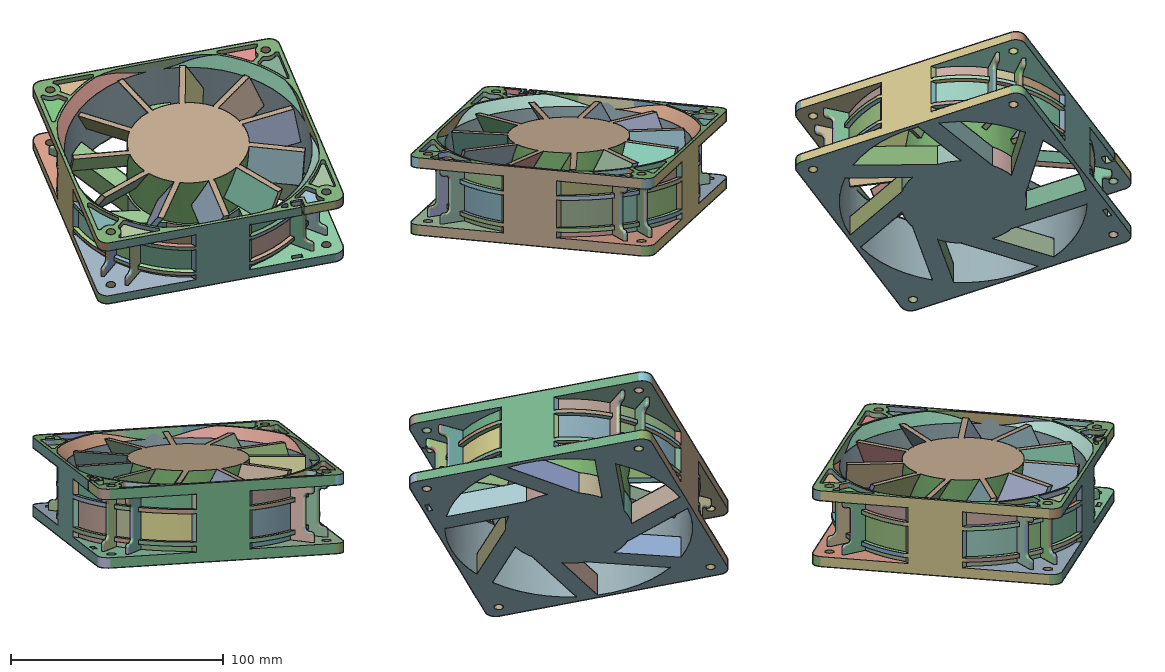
import cadquery as cq
import math

side = 120.0
side_count = 4
corner_angle = 45
height = 38.0
flange = 5.0
corner_radius = 5.0
bore_radius = 58.2
shell_radius = 59.5
ring_radius = 61.8
ring_height = 2.0
ring_bottoms = (7.9, 23.6)

flare_radius = 62.9
flare_limit = 116.8
flare_limit_radius = 44.6
flare_limit_draft = 4.0

block_half_width = 13.1
block_root_half_width = 14.8
block_root_distance = 57.5

hole_offset = 52.5
hole_diameter = 4.3
boss_radius = 4.8
pocket_depth = 2.5
pocket_margin = 2.0
pocket_wall = 1.1
pocket_fillet = 1.0
slot_pocket_fillet = 0.7
web_half_width = 1.2

rib_thickness = 1.9
rib_offset = 6.5
rib_reach = 71.3
rib_step = 4.5
rib_tab = 3.0
rib_notch_radius = 1.9
rib_fillet = 0.8

slot_x = (55.0, 58.0)
slot_y = (34.5, 39.6)
slot_chamfer = 0.5
slot_chamfer_angle = 45
slot_fillet = 1.0
slot_wall = 1.9
channel_width = 1.0
lower_slot_left = 55.9

hub_radius = 28.7
hub_top = height - 1.2
blade_count = 11
blade_tip = 55.0
blade_top = hub_top
blade_drop = 13.9
blade_edge = 4.7
blade_width = 2.9
blade_lean = 8.3

strut_count = 7
strut_edge = 18.1
strut_width = 9.2
strut_height = 11.5
base_radius = 29.8
base_height = strut_height

half = side / 2
shell_height = height - 2 * flange

overlap = 1.2


def spaced_round(shape, count, first=0):
    """Join copies of a shape spaced evenly about the Z axis, count to a full turn, skipping any before first."""
    joined = cq.Workplane("XY")
    for index in range(first, count):
        joined = joined.union(shape.rotate((0, 0, 0), (0, 0, 1), index * 360 / count))
    return joined


def cylinder(radius, bottom, length):
    return cq.Workplane("XY").workplane(offset=bottom).circle(radius).extrude(length)


def box(x_range, y_range, bottom, length):
    width = x_range[1] - x_range[0]
    depth = y_range[1] - y_range[0]
    corner = (x_range[0], y_range[0], bottom)
    return cq.Workplane("XY").box(width, depth, length, centered=False).translate(corner)


def flange_plate(bottom):
    plate = cq.Workplane("XY").workplane(offset=bottom).rect(side, side).extrude(flange)
    return plate.edges("|Z").fillet(corner_radius)


def side_block():
    """Block flush with the +X side, with slanted ends that run back to the shell."""
    outline = [
        (half, -block_half_width),
        (half, block_half_width),
        (block_root_distance, block_root_half_width),
        (bore_radius - 2 * overlap, block_root_half_width),
        (bore_radius - 2 * overlap, -block_root_half_width),
        (block_root_distance, -block_root_half_width),
    ]
    return cq.Workplane("XY").workplane(offset=flange).polyline(outline).close().extrude(shell_height)


def corner_ribs():
    """Two upright plates along the corner diagonal, with a rounded notch in their outer edge."""
    low = flange + rib_tab
    high = height - flange - rib_tab
    notch = rib_reach - rib_step
    arc = rib_notch_radius
    plate = (
        cq.Workplane("XZ")
        .moveTo(bore_radius, flange)
        .lineTo(rib_reach, flange)
        .lineTo(rib_reach, low)
        .radiusArc((rib_reach - arc, low + arc), -arc)
        .lineTo(notch + arc, low + arc)
        .radiusArc((notch, low + 2 * arc), arc)
        .lineTo(notch, high - 2 * arc)
        .radiusArc((notch + arc, high - arc), arc)
        .lineTo(rib_reach - arc, high - arc)
        .radiusArc((rib_reach, high), -arc)
        .lineTo(rib_reach, height - flange)
        .lineTo(bore_radius, height - flange)
        .close()
        .extrude(rib_thickness / 2, both=True)
    )
    outer_edge = cq.selectors.BoxSelector((notch - overlap, -half, 0), (side, half, height))
    plate = plate.edges("not |Y").edges(outer_edge).fillet(rib_fillet)
    pair = plate.translate((0, rib_offset, 0)).union(plate.translate((0, -rib_offset, 0)))
    return pair.rotate((0, 0, 0), (0, 0, 1), corner_angle)


def bore():
    """Straight bore with the inlet flare at its top."""
    cone = (
        cq.Workplane("XY")
        .workplane(offset=height - flange)
        .circle(bore_radius)
        .workplane(offset=flange)
        .circle(flare_radius)
        .loft()
    )
    outline = cq.Sketch().rect(flare_limit, flare_limit).vertices().fillet(flare_limit_radius)
    limit = (
        cq.Workplane("XY")
        .workplane(offset=height)
        .placeSketch(outline)
        .extrude(-flange, taper=flare_limit_draft)
    )
    return cylinder(bore_radius, 0, height).union(cone.intersect(limit))


def on_diagonal(along, across):
    """Point given by its distance along the corner diagonal and to the right of it."""
    return ((along + across) / math.sqrt(2), (along - across) / math.sqrt(2))


def side_pocket():
    """Pocket on the +X side of a corner, between the flare, the hole boss and the frame edge."""
    edge = half - pocket_margin
    inner = flare_radius + pocket_wall
    hole = hole_offset * math.sqrt(2)
    web_start = math.sqrt(inner**2 - web_half_width**2)
    web_end = hole - math.sqrt(boss_radius**2 - web_half_width**2)
    return (
        cq.Workplane("XY")
        .workplane(offset=height - pocket_depth)
        .moveTo(edge, math.sqrt(inner**2 - edge**2))
        .radiusArc(on_diagonal(web_start, web_half_width), -inner)
        .lineTo(*on_diagonal(web_end, web_half_width))
        .radiusArc(on_diagonal(hole, boss_radius), -boss_radius)
        .lineTo(edge, edge - boss_radius * math.sqrt(2))
        .close()
        .extrude(pocket_depth)
    )


def slot_side_pocket(plain):
    """Pocket beside the cable slot, split in two by the wall round the slot."""
    wall = box(
        (slot_x[0] - slot_wall, half),
        (slot_y[0] - slot_wall, slot_y[1] + slot_wall),
        height - pocket_depth,
        pocket_depth,
    )
    joined = cq.Workplane("XY")
    for piece in plain.cut(wall).solids().vals():
        joined = joined.union(cq.Workplane(piece).edges("|Z").fillet(slot_pocket_fillet))
    return joined


def pockets():
    """Two mirrored pockets in every corner; the one by the cable slot has its own shape."""
    plain = side_pocket()
    rounded = plain.edges("|Z").fillet(pocket_fillet)
    mirrored = rounded.mirror("XZ")
    cut = spaced_round(mirrored, side_count).union(spaced_round(rounded, side_count, first=1))
    return cut.union(slot_side_pocket(plain))


def slot_outline(bottom):
    """Slot with two rounded lower corners and a channel that leaves through the frame side."""
    left, right = slot_x
    low, high = slot_y
    channel_low = high - channel_width
    r = slot_fillet
    return (
        cq.Workplane("XY")
        .workplane(offset=bottom)
        .moveTo(left, high)
        .lineTo(left, low + r)
        .radiusArc((left + r, low), -r)
        .lineTo(right - r, low)
        .radiusArc((right, low + r), -r)
        .lineTo(right, channel_low)
        .lineTo(half + overlap, channel_low)
        .lineTo(half + overlap, high)
        .close()
    )


def cable_slot():
    """Opening through the top flange with a chamfered rim, and a narrower hole through the bottom one."""
    upper = slot_outline(height - flange).extrude(flange)
    rim = slot_outline(height - slot_chamfer).extrude(slot_chamfer, taper=-slot_chamfer_angle)
    lower = box((lower_slot_left, slot_x[1]), slot_y, 0, flange)
    return upper.union(rim).union(lower)


def blade():
    """Leaning plate with a level top and a lower end square to its faces."""
    slope = math.hypot(blade_lean, blade_drop)
    thickness = blade_width * blade_drop / slope
    face_top = blade_edge - blade_width
    face_bottom = face_top - blade_lean
    bottom = blade_top - blade_drop
    outline = [
        (blade_edge, blade_top),
        (face_top, blade_top),
        (face_bottom, bottom),
        (face_bottom + thickness * blade_drop / slope, bottom - thickness * blade_lean / slope),
    ]
    root = hub_radius - 2 * overlap
    return cq.Workplane("YZ").workplane(offset=root).polyline(outline).close().extrude(blade_tip - root)


def strut():
    """Bar set off to one side of the centre, from the motor base to the wall of the bore."""
    inner = math.sqrt(base_radius**2 - (strut_edge + strut_width) ** 2)
    plate = box((inner - 2 * overlap, half), (strut_edge, strut_edge + strut_width), 0, strut_height)
    return plate.intersect(cylinder(bore_radius + overlap / 2, 0, strut_height))


def outer_rings():
    """Narrow bands round the shell, trimmed to the square of the frame."""
    rings = cq.Workplane("XY")
    for bottom in ring_bottoms:
        rings = rings.union(cylinder(ring_radius, bottom, ring_height))
    return rings.intersect(box((-half, half), (-half, half), 0, height))


def mounting_holes():
    spacing = 2 * hole_offset
    centres = cq.Workplane("XY").rect(spacing, spacing, forConstruction=True).vertices()
    return centres.circle(hole_diameter / 2).extrude(height)


frame = flange_plate(0).union(flange_plate(height - flange))
frame = frame.union(cylinder(shell_radius, flange, shell_height))
frame = frame.union(outer_rings())
frame = frame.union(spaced_round(side_block(), side_count))
frame = frame.union(spaced_round(corner_ribs(), side_count))
frame = frame.cut(bore())
frame = frame.cut(pockets())
frame = frame.cut(cable_slot())
frame = frame.cut(mounting_holes())

rotor = cylinder(hub_radius, 0, hub_top)
rotor = rotor.union(spaced_round(blade(), blade_count))

motor_base = cylinder(base_radius, 0, base_height)
motor_base = motor_base.union(spaced_round(strut(), strut_count))

result = frame.union(motor_base).union(rotor)